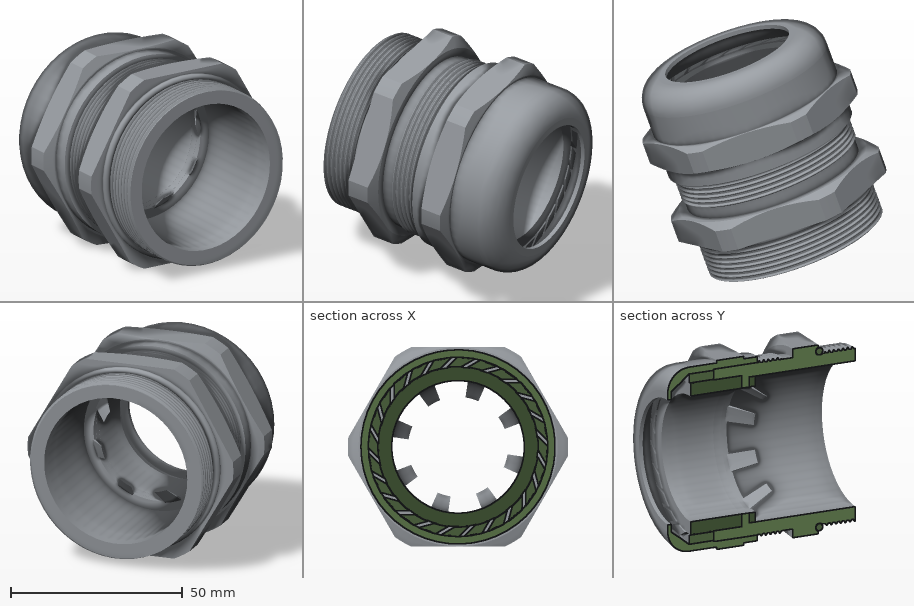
import cadquery as cq
import math

total_length = 60.7
front_x = -total_length / 2
back_x = total_length / 2

hex_across_flats = 58.0
hex_corner_diameter = 64.05
hex_chamfer_diameter = 57.9

nut_diameter = 56.6
nut_back_x = -1.3
dome_radius = 7.0
nut_hex_front_x = -14.5
nut_hex_back_x = -5.65
nut_hex_chamfer_depth = 1.2
entry_diameter = 38.2
lip_thickness = 1.2
cone_start_diameter = 43.0

cage_front_x = -23.45
cage_back_x = -15.4
cage_diameter = 52.0
slit_count = 24
slit_width = 0.95
slit_depth = 5.1
slit_skew = 55.6
slit_start_angle = 4.5

seal_front_x = -23.0
seal_back_x = -6.3
seal_diameter = 46.5
seal_bore = 38.4

core_diameter = 52.7
end_core_diameter = 52.45
body_bore = 38.5
body_hex_front_x = 10.05
body_hex_back_x = 18.4
body_hex_chamfer_depth = 1.7
rear_bore = 44.6

seven_turn_length = 10.5
thread_pitch = seven_turn_length / 7
thread_height = 0.65
thread_base_width = 1.2
thread_crest_width = 0.2
thread_root_overlap = 0.2
nut_thread_back_x = 6.6
nut_thread_crest_x = 0.7
end_thread_front_x = 20.4
end_thread_crest_x = 23.4

gasket_diameter = 56.25
gasket_section_radius = 1.1
gasket_center_x = 18.75

spring_front_x = -3.85
spring_ring_length = 1.9
spring_bore = 38.55
finger_count = 8
finger_angle = 15.5
finger_start_angle = 16.3
finger_tip_radius = 14.8
finger_tip_bevel = 0.25
finger_length = 6.4
finger_thickness = 0.5


def cylinder(diameter, start_x, end_x):
    return cq.Workplane("YZ", origin=(start_x, 0, 0)).circle(diameter / 2).extrude(end_x - start_x)


def revolve_profile(points):
    """Turn a closed outline of (x, radius) points about the X axis."""
    return cq.Workplane("XY").polyline(points).close().revolve(360, (0, 0, 0), (1, 0, 0))


def hexagon(start_x, end_x, front_chamfer, back_chamfer):
    """Hexagonal collar with flats at +Z and -Z, turned corners and conical end chamfers."""
    corner_radius = hex_corner_diameter / 2
    chamfer_radius = hex_chamfer_diameter / 2
    prism = (
        cq.Workplane("YZ", origin=(start_x, 0, 0))
        .polygon(6, hex_across_flats / math.cos(math.pi / 6))
        .extrude(end_x - start_x)
    )
    outline = [(start_x, 0), (start_x, chamfer_radius), (start_x + front_chamfer, corner_radius)]
    if back_chamfer > 0:
        outline += [(end_x - back_chamfer, corner_radius), (end_x, chamfer_radius), (end_x, 0)]
    else:
        outline += [(end_x, corner_radius), (end_x, 0)]
    return prism.intersect(revolve_profile(outline))


def threaded_cylinder(root_diameter, start_x, end_x, crest_x):
    """Cylinder with a right-handed helical ridge whose crest passes the top (+Z) at crest_x."""
    root_radius = root_diameter / 2
    inner_radius = root_radius - thread_root_overlap
    half_base = thread_base_width / 2
    half_crest = thread_crest_width / 2
    helix_start = crest_x - math.ceil((crest_x - start_x) / thread_pitch + 1) * thread_pitch
    helix_length = math.ceil((end_x - helix_start) / thread_pitch + 1) * thread_pitch
    helix = cq.Wire.makeHelix(thread_pitch, helix_length, inner_radius)
    ridge = (
        cq.Workplane("XZ")
        .polyline([
            (inner_radius, -half_base),
            (root_radius + thread_height, -half_crest),
            (root_radius + thread_height, half_crest),
            (inner_radius, half_base),
        ])
        .close()
        .sweep(cq.Workplane(helix), isFrenet=True)
        .rotate((0, 0, 0), (0, 1, 0), 90)
        .rotate((0, 0, 0), (1, 0, 0), 180)
        .translate((helix_start, 0, 0))
    )
    core = cylinder(root_diameter, helix_start - thread_pitch, helix_start + helix_length + thread_pitch)
    trim_diameter = root_diameter + 4 * thread_height
    return core.union(ridge).intersect(cylinder(trim_diameter, start_x, end_x))


def make_nut():
    cavity_x = front_x + lip_thickness
    shell = cylinder(nut_diameter, front_x, nut_back_x).faces("<X").edges().fillet(dome_radius)
    collar = hexagon(nut_hex_front_x, nut_hex_back_x, nut_hex_chamfer_depth, nut_hex_chamfer_depth)
    cavity = revolve_profile([
        (cavity_x, 0),
        (cavity_x, cone_start_diameter / 2),
        (cage_front_x, cage_diameter / 2),
        (cage_back_x, cage_diameter / 2),
        (cage_back_x, core_diameter / 2),
        (nut_back_x, core_diameter / 2),
        (nut_back_x, 0),
    ])
    return shell.union(collar).cut(cavity).cut(cylinder(entry_diameter, front_x, cavity_x))


def make_cage():
    cage = cylinder(cage_diameter, cage_front_x, cage_back_x)
    cage = cage.cut(cylinder(seal_diameter, cage_front_x, cage_back_x))
    inner_radius = seal_diameter / 2
    slit_length = cage_diameter / 4
    slit = (
        cq.Workplane("XY")
        .box(slit_depth, slit_length, slit_width, centered=(False, False, True))
        .translate((0, -slit_width, 0))
        .rotate((0, 0, 0), (1, 0, 0), slit_skew)
        .translate((cage_front_x, inner_radius, 0))
    )
    for index in range(slit_count):
        angle = slit_start_angle + index * 360 / slit_count
        cage = cage.cut(slit.rotate((0, 0, 0), (1, 0, 0), angle))
    return cage


def make_seal():
    seal = cylinder(seal_diameter, seal_front_x, seal_back_x)
    return seal.cut(cylinder(seal_bore, seal_front_x, seal_back_x))


def make_body():
    nut_thread = threaded_cylinder(core_diameter, nut_back_x, nut_thread_back_x, nut_thread_crest_x)
    end_thread = threaded_cylinder(end_core_diameter, end_thread_front_x, back_x, end_thread_crest_x)
    gasket_groove = make_gasket()
    return (
        cylinder(core_diameter, cage_back_x, nut_back_x)
        .union(nut_thread)
        .union(cylinder(core_diameter, nut_thread_back_x, body_hex_front_x))
        .union(hexagon(body_hex_front_x, body_hex_back_x, body_hex_chamfer_depth, 0))
        .union(cylinder(end_core_diameter, body_hex_back_x, end_thread_front_x))
        .union(end_thread)
        .cut(cylinder(seal_diameter, cage_back_x, seal_back_x))
        .cut(cylinder(body_bore, seal_back_x, spring_front_x))
        .cut(cylinder(rear_bore, spring_front_x, back_x))
        .cut(gasket_groove)
    )


def make_gasket():
    section_center_radius = gasket_diameter / 2 - gasket_section_radius
    return (
        cq.Workplane("XY")
        .center(gasket_center_x, section_center_radius)
        .circle(gasket_section_radius)
        .revolve(360, (0, -section_center_radius, 0), (1, -section_center_radius, 0))
    )


def make_spring():
    """Seating ring with contact fingers that lean inward toward +X."""
    root_x = spring_front_x + spring_ring_length
    tip_x = root_x + finger_length
    root_radius = spring_bore / 2
    ring = cylinder(rear_bore, spring_front_x, root_x)
    ring = ring.cut(cylinder(spring_bore, spring_front_x, root_x))
    cone_profile = [
        (root_x - finger_thickness, root_radius),
        (tip_x - finger_thickness, finger_tip_radius),
        (tip_x, finger_tip_radius - finger_tip_bevel),
        (root_x, root_radius + finger_thickness),
        (root_x - finger_thickness, root_radius + finger_thickness),
    ]
    finger = (
        cq.Workplane("XY")
        .polyline(cone_profile)
        .close()
        .revolve(finger_angle, (0, 0, 0), (1, 0, 0))
        .rotate((0, 0, 0), (1, 0, 0), -finger_angle / 2)
    )
    for index in range(finger_count):
        angle = finger_start_angle + index * 360 / finger_count
        ring = ring.union(finger.rotate((0, 0, 0), (1, 0, 0), angle))
    return ring


nut = make_nut()
cage = make_cage()
seal = make_seal()
body = make_body()
gasket = make_gasket()
spring = make_spring()

result = cq.Compound.makeCompound([
    nut.val(),
    cage.val(),
    seal.val(),
    body.val(),
    gasket.val(),
    spring.val(),
])